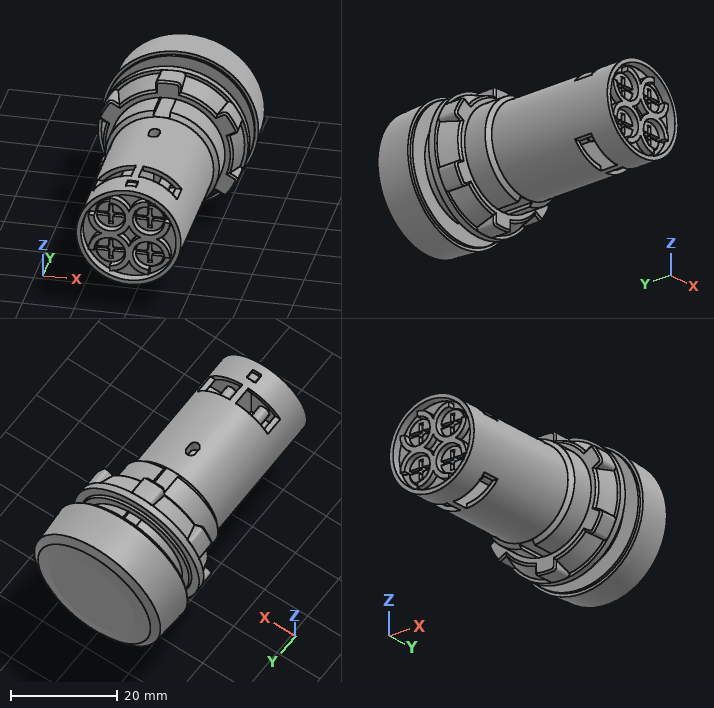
import cadquery as cq

barrel_radius = 20.2 / 2
bore_radius = 18.3 / 2
neck_radius = 21.95 / 2
shoulder_y = 29.05
shoulder_chamfer = neck_radius - barrel_radius
keyway_width = 3.15
slot_width = 2.0
slot_length = 3.15
slot_y = 22.85
slot_depth = 2.75

window_y = 5.85
window_length = 4.05
window_sill_z = 6.0
web_half = 0.7

latch_width = 2.0
latch_hole_y = 2.0
latch_y = 2.3
latch_end_y = 4.05
latch_top_z = 9.7

block_end_y = 4.95
cavity_end_y = 19.3
well_front_y = 0.5
block_front_y = 2.0
well_offset = 3.75
well_outer_radius = 4.1
well_radius = 6.0 / 2
well_end_y = 3.3

screw_face_y = 1.65
screw_radius = 5.5 / 2
shank_radius = 2.5 / 2
tip_radius = 2.2 / 2
shank_end_y = 9.95
cross_width = 0.85
cross_height = 4.05
cross_depth = 0.85
cross_centre_half_diagonal = 1.0

nut_front_y = 35.05
recess_end_y = 39.5
flange_end_y = 41.0
nut_end_y = 41.55
nut_radius = 29.0 / 2
collar_base_radius = 25.5 / 2
collar_end_radius = 25.1 / 2
cone_front_radius = 24.8 / 2
cone_end_radius = 13.8
tooth_count = 6
tooth_width = 4.85
tooth_radius = 14.45
tooth_root_y = 40.3
tooth_height = 6.6
tooth_corner_radius = 0.85
nut_edge_chamfer = 0.4

gasket_radius = 29.0 / 2
gasket_y = 45.05

cap_y = 45.65
cap_end_y = 55.2
cap_radius = 30.3 / 2
brow_y = 53.7
brow_radius = 14.6
dome_y = 54.7
dome_radius = 13.0
flat_radius = 9.8


def turned(points):
    """Solid of revolution about Y from (radius, y) points."""
    return cq.Workplane("XY").polyline(points).close().revolve(360, (0, 0, 0), (0, 1, 0))


def cylinder(radius, start_y, end_y, x=0.0, z=0.0):
    """Cylinder along Y."""
    base = cq.Workplane("XZ", origin=(0, start_y, 0)).center(x, z)
    return base.circle(radius).extrude(start_y - end_y)


def block(x_range, y_range, z_range):
    """Axis-aligned box between the given limits."""
    sizes = [high - low for low, high in (x_range, y_range, z_range)]
    corner = (x_range[0], y_range[0], z_range[0])
    return cq.Workplane("XY").box(*sizes, centered=False).translate(corner)


def wire_windows(sill_z, half_width):
    """Four box cuts, left and right of the middle web, at the top and the bottom."""
    y_range = (window_y, window_y + window_length)
    right = block((web_half, half_width), y_range, (sill_z, neck_radius))
    pair = right.union(right.mirror("YZ"))
    return pair.union(pair.mirror("XY"))


def make_partition():
    """Cross of two webs that parts the wire space into four cells."""
    y_range = (block_end_y, cavity_end_y)
    web_span = (-bore_radius - 0.55, bore_radius + 0.55)
    web_thickness = (-web_half, web_half)
    webs = block(web_thickness, y_range, web_span).union(block(web_span, y_range, web_thickness))
    return webs


def make_housing():
    body = turned([
        (0, 0),
        (barrel_radius, 0),
        (barrel_radius, shoulder_y),
        (neck_radius, shoulder_y + shoulder_chamfer),
        (neck_radius, gasket_y),
        (0, gasket_y),
    ])
    body = body.cut(cylinder(bore_radius, 0, cavity_end_y))
    keyway = block(
        (-keyway_width / 2, keyway_width / 2), (shoulder_y, gasket_y), (barrel_radius, neck_radius)
    )
    body = body.cut(keyway).cut(keyway.mirror("XY"))
    slot = (
        cq.Workplane("XY", origin=(0, slot_y, barrel_radius))
        .slot2D(slot_length, slot_width, 90)
        .extrude(-slot_depth)
    )
    latch_hole = block(
        (-latch_width / 2, latch_width / 2), (latch_hole_y, latch_end_y), (0, barrel_radius)
    )
    body = body.cut(slot).cut(latch_hole).cut(wire_windows(window_sill_z, neck_radius))
    return body.union(make_partition())


def well_centres():
    return [(sx * well_offset, sz * well_offset) for sx in (-1, 1) for sz in (-1, 1)]


def make_well_wall(x, z):
    """Tubular wall round a screw, open in the quarter away from the axis."""
    wall = cylinder(well_outer_radius, well_front_y, block_front_y, x, z)
    x_range = sorted((x, 3 * x))
    z_range = sorted((z, 3 * z))
    return wall.cut(block(x_range, (well_front_y, block_front_y), z_range))


def make_screw(x, z):
    """Terminal screw with a cross recess and a stepped shank."""
    screw = cylinder(screw_radius, screw_face_y, well_end_y, x, z)
    screw = screw.union(cylinder(shank_radius, well_end_y, shank_end_y, x, z))
    screw = screw.union(cylinder(tip_radius, shank_end_y, cavity_end_y, x, z))
    face = cq.Workplane("XZ", origin=(x, screw_face_y, z))
    slot = face.rect(2 * screw_radius, cross_width).extrude(-cross_depth)
    cross_bar = face.rect(cross_width, cross_height).extrude(-cross_depth)
    centre = face.polygon(4, 2 * cross_centre_half_diagonal).extrude(-cross_depth)
    return screw.cut(slot).cut(cross_bar).cut(centre)


def make_terminal_block():
    """Block with four screw wells, its screws and the latch."""
    body = cylinder(bore_radius, block_front_y, block_end_y)
    for x, z in well_centres():
        body = body.union(make_well_wall(x, z))
    for x, z in well_centres():
        body = body.cut(cylinder(well_radius, well_front_y, well_end_y, x, z))
        body = body.union(make_screw(x, z))
    latch = block((-latch_width / 2, latch_width / 2), (latch_y, latch_end_y), (0, latch_top_z))
    return body.union(latch)


def make_tooth(angle):
    """Grip tooth with rounded outer corners and a chamfered front."""
    tooth = (
        cq.Workplane("XZ", origin=(0, nut_front_y, 0))
        .center(0, tooth_radius - tooth_height / 2)
        .rect(tooth_width, tooth_height)
        .extrude(nut_front_y - tooth_root_y)
        .intersect(cylinder(tooth_radius, nut_front_y, tooth_root_y))
        .edges("|Y")
        .edges(">Z")
        .fillet(tooth_corner_radius)
        .faces("<Y")
        .edges()
        .chamfer(nut_edge_chamfer)
    )
    return tooth.rotate((0, 0, 0), (0, 1, 0), angle)


def make_nut():
    nut = turned([
        (0, nut_front_y),
        (cone_front_radius, nut_front_y),
        (cone_end_radius, recess_end_y),
        (nut_radius, recess_end_y),
        (nut_radius, flange_end_y),
        (collar_base_radius, flange_end_y),
        (collar_end_radius, nut_end_y),
        (0, nut_end_y),
    ])
    nut = nut.faces("<Y").edges().chamfer(nut_edge_chamfer)
    for index in range(tooth_count):
        nut = nut.union(make_tooth(index * 360 / tooth_count))
    return nut.cut(cylinder(neck_radius, nut_front_y, nut_end_y))


def make_cap():
    return turned([
        (0, cap_y),
        (cap_radius, cap_y),
        (brow_radius, brow_y),
        (dome_radius, dome_y),
        (flat_radius, cap_end_y),
        (0, cap_end_y),
    ])


housing = make_housing()
terminal_block = make_terminal_block()
nut = make_nut()
gasket = cylinder(gasket_radius, gasket_y, cap_y)
cap = make_cap()

result = cq.Compound.makeCompound([
    housing.val(),
    terminal_block.val(),
    nut.val(),
    gasket.val(),
    cap.val(),
])